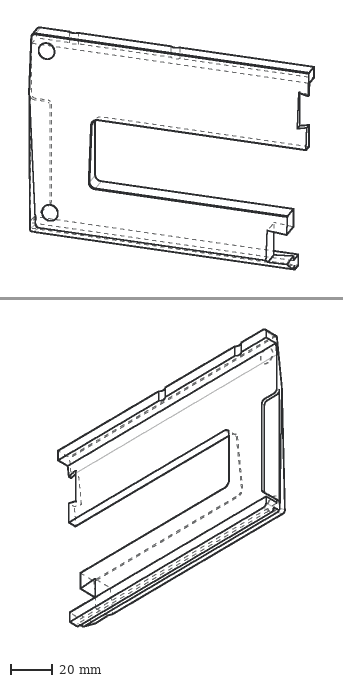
import cadquery as cq
import math

LENGTH = 143.22
DEPTH = 19.53
HEIGHT = 107.95
LOWER_ARM_LENGTH = 135.2

TOP_DEPTH = 7.7
RIDGE_Z = 9.6
BEVEL_DEPTH = 9.5
BOTTOM_STEP_Z = 2.05
LIP_DEPTH = 5.5
BAR_HEIGHT = 5.85
CHANNEL_DEPTH = 7.4
TOP_WALL = 1.75
FRONT_SLOPE = (DEPTH - TOP_DEPTH) / (HEIGHT - RIDGE_Z)

SIDE_BEVEL_TOP_Z = 82.0
SIDE_BEVEL_WIDTH = 6.4
SEAM_RADIUS = 2.0

SLOT_LEFT = 33.0
SLOT_BOTTOM_Z = 33.6
SLOT_TOP_Z = 68.3
SLOT_RADIUS = 3.0

EDGE_CHAMFER = 0.4
CORNER_RADIUS = 2.2
LIP_CORNER_RADIUS = 2.0

SEAT_DIAMETER = 8.2
SEAT_DEPTH = 0.3
SEAT_CENTRES = [(8.3, 99.85), (13.4, 17.95)]

NICK_DIAMETER = 6.5
NICK_DEPTH = 0.95
NICK_CENTRES_X = [19.3, 71.7]

UPPER_NOTCH_X = 138.4
UPPER_NOTCH_Z = (78.8, 97.2)
UPPER_NOTCH_TAPER = 1.2
LOWER_NOTCH_X = 125.1
LOWER_NOTCH_Z = (7.3, 24.9)
LOWER_NOTCH_TAPER = 0.9

RECESS_DEPTH = 9.2
RECESS_TOP_Z = 73.15
RECESS_BOTTOM_Z = 7.8
RECESS_WIDTH = 10.3
RECESS_RADIUS = 2.0


def front_depth(z):
    """Depth of the sloping front face at height z."""
    return TOP_DEPTH + FRONT_SLOPE * (HEIGHT - z)


def front_prism(points, depth=DEPTH):
    """Prism with an outline in X and Z, running from the back to a given depth."""
    return cq.Workplane("XZ").polyline(points).close().extrude(depth)


def body():
    """Wedge-shaped plate with a bar along its top and bottom edges."""
    wall_bottom_z = HEIGHT - BAR_HEIGHT
    wall_depth = front_depth(wall_bottom_z) - TOP_WALL
    channel_corner_z = wall_bottom_z - (CHANNEL_DEPTH - wall_depth) / FRONT_SLOPE
    section = [
        (0, HEIGHT),
        (-TOP_DEPTH, HEIGHT),
        (-DEPTH, RIDGE_Z),
        (-BEVEL_DEPTH, BOTTOM_STEP_Z),
        (-LIP_DEPTH, BOTTOM_STEP_Z),
        (-LIP_DEPTH, 0),
        (0, 0),
        (0, BAR_HEIGHT),
        (-CHANNEL_DEPTH, BAR_HEIGHT),
        (-CHANNEL_DEPTH, channel_corner_z),
        (-wall_depth, wall_bottom_z),
        (0, wall_bottom_z),
    ]
    return cq.Workplane("YZ").polyline(section).close().extrude(LENGTH)


def cut_side_bevel(part):
    """Slant the left side of the front face and round the seam with the bottom bevel."""
    top = cq.Vector(0, -front_depth(SIDE_BEVEL_TOP_Z), SIDE_BEVEL_TOP_Z)
    bottom = cq.Vector(0, -BEVEL_DEPTH, BOTTOM_STEP_Z)
    ridge = cq.Vector(SIDE_BEVEL_WIDTH, -DEPTH, RIDGE_Z)
    outward = (bottom - top).cross(ridge - top)
    plane = cq.Plane(origin=top, xDir=ridge - top, normal=outward)
    cutter = cq.Workplane(plane).rect(4 * HEIGHT, 4 * HEIGHT).extrude(DEPTH)
    seam = cq.selectors.NearestToPointSelector(((bottom + ridge) * 0.5).toTuple())
    return part.cut(cutter).edges(seam).fillet(SEAM_RADIUS)


def round_left_corners(part):
    """Round the top left corner and the lower corner of the bottom lip."""
    top_corner = cq.selectors.NearestToPointSelector((0, -TOP_DEPTH / 2, HEIGHT))
    lip_corner = cq.selectors.NearestToPointSelector((0, -LIP_DEPTH / 2, 0))
    part = part.edges(top_corner).fillet(CORNER_RADIUS)
    return part.edges(lip_corner).fillet(LIP_CORNER_RADIUS)


def chamfer_top_edge(part):
    """Break the long edge between the top and the sloping front."""
    top_edge = cq.selectors.NearestToPointSelector((LENGTH / 2, -TOP_DEPTH, HEIGHT))
    return part.edges(top_edge).chamfer(EDGE_CHAMFER)


def slot():
    """Slot that is open to the right, with rounded corners at its closed end."""
    outline = [
        (SLOT_LEFT, SLOT_BOTTOM_Z),
        (LENGTH, SLOT_BOTTOM_Z),
        (LENGTH, SLOT_TOP_Z),
        (SLOT_LEFT, SLOT_TOP_Z),
    ]
    return front_prism(outline).edges("|Y and <X").fillet(SLOT_RADIUS)


def chamfer_slot(part):
    """Break the slot's edges where it meets the sloping front."""
    slot_zone = cq.selectors.BoxSelector(
        (SLOT_LEFT - EDGE_CHAMFER, -DEPTH, SLOT_BOTTOM_Z - EDGE_CHAMFER),
        (LENGTH - EDGE_CHAMFER, -CHANNEL_DEPTH - EDGE_CHAMFER, SLOT_TOP_Z + EDGE_CHAMFER),
    )
    return part.edges(slot_zone).edges("not |Y").chamfer(EDGE_CHAMFER)


def arm_end():
    """Material beyond the end of the shorter lower arm."""
    outline = [
        (LOWER_ARM_LENGTH, 0),
        (LENGTH, 0),
        (LENGTH, SLOT_TOP_Z),
        (LOWER_ARM_LENGTH, SLOT_TOP_Z),
    ]
    return front_prism(outline)


def dovetail_notch(inner_x, outer_x, z_range, taper):
    """Notch in an arm end that narrows towards its mouth."""
    bottom_z, top_z = z_range
    outline = [
        (inner_x, bottom_z),
        (outer_x, bottom_z + taper),
        (outer_x, top_z - taper),
        (inner_x, top_z),
    ]
    return front_prism(outline)


def seat(x, z):
    """Shallow round seat, square to the sloping front face."""
    plane = cq.Plane(
        origin=(x, -front_depth(z), z),
        xDir=(1, 0, 0),
        normal=(0, 1, -FRONT_SLOPE),
    )
    return cq.Workplane(plane).circle(SEAT_DIAMETER / 2).extrude(SEAT_DEPTH)


def nick(x):
    """Round nick through the height of the top bar."""
    centre_y = NICK_DIAMETER / 2 - NICK_DEPTH
    base = cq.Workplane("XY", origin=(x, centre_y, HEIGHT - BAR_HEIGHT))
    return base.circle(NICK_DIAMETER / 2).extrude(BAR_HEIGHT)


def recess():
    """Shallow recess in the back, open to the left, with a 45 degree lower wall.

    The cutter also spans a strip left of the part, so that all four of its corners
    along the recess walls, both inside and at the mouth, can be rounded on it.
    """
    margin = 2 * RECESS_RADIUS
    outline = [
        (-margin, RECESS_BOTTOM_Z - margin),
        (0, RECESS_BOTTOM_Z - margin),
        (0, RECESS_BOTTOM_Z),
        (RECESS_WIDTH, RECESS_BOTTOM_Z + RECESS_WIDTH),
        (RECESS_WIDTH, RECESS_TOP_Z),
        (0, RECESS_TOP_Z),
        (0, RECESS_TOP_Z + margin),
        (-margin, RECESS_TOP_Z + margin),
    ]
    wall_corners = cq.selectors.BoxSelector(
        (-RECESS_RADIUS, -RECESS_DEPTH, RECESS_BOTTOM_Z - RECESS_RADIUS),
        (RECESS_WIDTH + RECESS_RADIUS, 0, RECESS_TOP_Z + RECESS_RADIUS),
    )
    cutter = front_prism(outline, RECESS_DEPTH)
    return cutter.edges("|Y").edges(wall_corners).fillet(RECESS_RADIUS)


result = round_left_corners(body())
result = cut_side_bevel(result)
result = chamfer_top_edge(result)
result = result.cut(slot()).cut(arm_end())
result = chamfer_slot(result)
result = result.cut(recess())
result = result.cut(dovetail_notch(UPPER_NOTCH_X, LENGTH, UPPER_NOTCH_Z, UPPER_NOTCH_TAPER))
result = result.cut(dovetail_notch(LOWER_NOTCH_X, LOWER_ARM_LENGTH, LOWER_NOTCH_Z, LOWER_NOTCH_TAPER))
for seat_x, seat_z in SEAT_CENTRES:
    result = result.cut(seat(seat_x, seat_z))
for nick_x in NICK_CENTRES_X:
    result = result.cut(nick(nick_x))